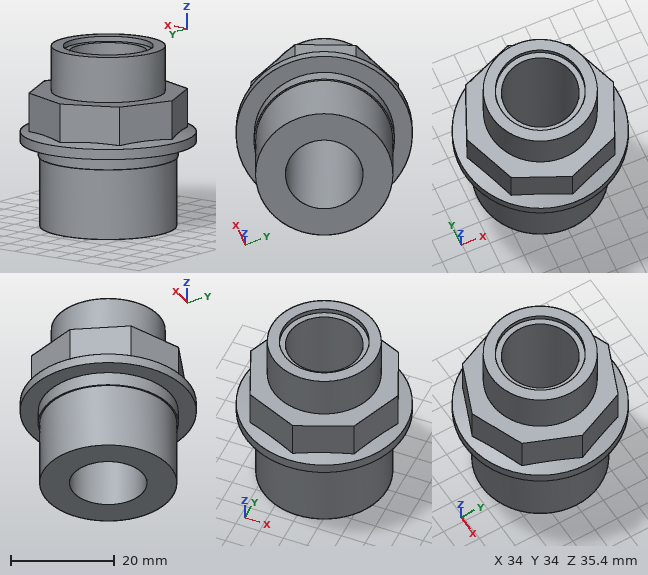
import cadquery as cq
import math

spigot_diameter = 26.45
shoulder_diameter = 27.0
flange_diameter = 34.0
boss_diameter = 22.0
bore_diameter = 14.95
recess_diameter = 17.3

nut_sides = 8
nut_corner_diameter = 30.85
nut_flat_radius = nut_corner_diameter / 2 * math.cos(math.pi / nut_sides)

shoulder_bottom = 13.77
flange_bottom = 16.55
flange_rim_top = 18.55
flange_cone_top = 19.22
nut_top = 26.5
total_height = 35.4
recess_depth = 1.0


def cylinder(diameter, bottom, top):
    return cq.Workplane("XY").workplane(offset=bottom).circle(diameter / 2).extrude(top - bottom)


def flange():
    """Disc whose upper face rises as a shallow cone towards the nut."""
    profile = [
        (0, flange_bottom),
        (flange_diameter / 2, flange_bottom),
        (flange_diameter / 2, flange_rim_top),
        (nut_flat_radius, flange_cone_top),
        (0, flange_cone_top),
    ]
    return cq.Workplane("XZ").polyline(profile).close().revolve(360, (0, 0), (0, 1))


def nut():
    return (
        cq.Workplane("XY")
        .workplane(offset=flange_bottom)
        .polygon(nut_sides, nut_corner_diameter)
        .extrude(nut_top - flange_bottom)
    )


body = (
    cylinder(spigot_diameter, 0, flange_bottom)
    .union(cylinder(shoulder_diameter, shoulder_bottom, flange_bottom))
    .union(flange())
    .union(nut())
    .union(cylinder(boss_diameter, flange_bottom, total_height))
)

bore = cylinder(bore_diameter, 0, total_height)
recess = cylinder(recess_diameter, total_height - recess_depth, total_height)
result = body.cut(bore).cut(recess)